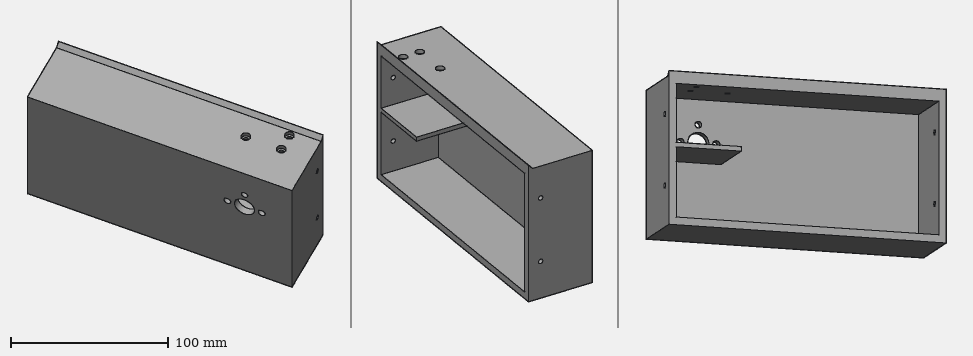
import cadquery as cq

LENGTH = 185.04
DEPTH = 47.57
HEIGHT = 100.0
LIP = 3.1
WALL = 5.0
BODY_HEIGHT = HEIGHT - LIP

OPENING_X = 151.8
OPENING_Z = 63.7
OPENING_DIAMETER = 13.96
SCREW_OFFSET = 12.0
SIDE_SCREW_DIAMETER = 4.7
UPPER_SCREW_DIAMETER = 4.3

TOP_HOLE_RIGHT_X = 164.6
TOP_HOLE_FRONT_Y = 28.2
TOP_HOLE_PITCH_X = 24.8
TOP_HOLE_PITCH_Y = 12.4
TOP_HOLE_DIAMETER = 3.2
COUNTERBORE_DIAMETER = 6.0
COUNTERBORE_DEPTH = 3.0

END_HOLE_DIAMETER = 3.2
END_HOLE_BACK_OFFSET = 9.0
END_HOLE_HEIGHTS = (27.0, 73.5)

SHELF_DROP = 10.0
SHELF_THICKNESS = 3.0
SHELF_OVERHANG = 15.0
SHELF_START_X = OPENING_X - SHELF_OVERHANG


def make_shell():
    """Box open at the back, with a triangular lip along its rear top edge."""
    profile = [
        (0, 0),
        (DEPTH, 0),
        (DEPTH, HEIGHT),
        (DEPTH - LIP, BODY_HEIGHT),
        (0, BODY_HEIGHT),
    ]
    body = cq.Workplane("YZ").polyline(profile).close().extrude(LENGTH)
    cavity = cq.Workplane().box(
        LENGTH - 2 * WALL, DEPTH - WALL, BODY_HEIGHT - 2 * WALL, centered=False
    )
    return body.cut(cavity.translate((WALL, WALL, WALL)))


def make_shelf():
    """Horizontal shelf joined to the front wall and the right end wall."""
    top_z = OPENING_Z - SHELF_DROP
    shelf = cq.Workplane().box(LENGTH - SHELF_START_X, DEPTH, SHELF_THICKNESS, centered=False)
    return shelf.translate((SHELF_START_X, 0, top_z - SHELF_THICKNESS))


def front_hole(x, z, diameter):
    """Cutter for a round hole through the front wall."""
    plane = cq.Workplane("XZ").center(x, z)
    return plane.circle(diameter / 2).extrude(-WALL)


def top_hole(x, y):
    """Cutter for a counterbored hole through the top wall."""
    plane = cq.Workplane("XY", origin=(x, y, BODY_HEIGHT))
    bore = plane.circle(TOP_HOLE_DIAMETER / 2).extrude(-WALL)
    counterbore = plane.circle(COUNTERBORE_DIAMETER / 2).extrude(-COUNTERBORE_DEPTH)
    return bore.union(counterbore)


def end_hole(z):
    """Cutter for a pair of aligned holes through both end walls."""
    plane = cq.Workplane("YZ").center(DEPTH - END_HOLE_BACK_OFFSET, z)
    return plane.circle(END_HOLE_DIAMETER / 2).extrude(LENGTH)


result = make_shell().union(make_shelf())

front_holes = [
    (OPENING_X, OPENING_Z, OPENING_DIAMETER),
    (OPENING_X - SCREW_OFFSET, OPENING_Z, SIDE_SCREW_DIAMETER),
    (OPENING_X + SCREW_OFFSET, OPENING_Z, SIDE_SCREW_DIAMETER),
    (OPENING_X, OPENING_Z + SCREW_OFFSET, UPPER_SCREW_DIAMETER),
]
for hole_x, hole_z, hole_diameter in front_holes:
    result = result.cut(front_hole(hole_x, hole_z, hole_diameter))

top_holes = [
    (TOP_HOLE_RIGHT_X, TOP_HOLE_FRONT_Y),
    (TOP_HOLE_RIGHT_X - TOP_HOLE_PITCH_X, TOP_HOLE_FRONT_Y),
    (TOP_HOLE_RIGHT_X, TOP_HOLE_FRONT_Y + TOP_HOLE_PITCH_Y),
]
for hole_x, hole_y in top_holes:
    result = result.cut(top_hole(hole_x, hole_y))

for hole_z in END_HOLE_HEIGHTS:
    result = result.cut(end_hole(hole_z))